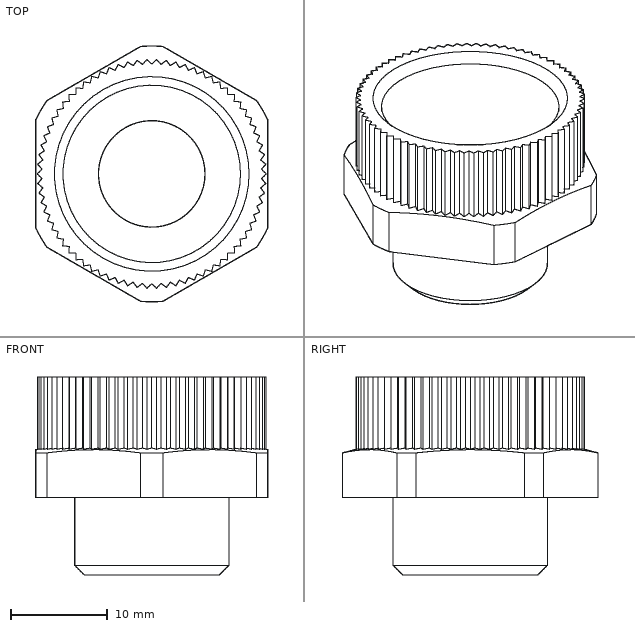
import cadquery as cq
import math

spigot_diameter = 16.0
spigot_height = 8.0
spigot_chamfer = 1.0

hex_across_flats = 24.0
hex_corner_diameter = 26.5
hex_height = 5.0
hex_cone_angle = 15.0

total_height = 20.5
knurl_diameter = 23.68
tooth_depth = 0.48
tooth_count = 74

through_diameter = 11.0
socket_diameter = 18.35
socket_depth = 10.5
mouth_diameter = 20.13
mouth_depth = 0.98

hex_top = spigot_height + hex_height
tip_radius = knurl_diameter / 2
root_radius = tip_radius - tooth_depth


def make_spigot():
    spigot = cq.Workplane("XY").circle(spigot_diameter / 2).extrude(spigot_height)
    return spigot.faces("<Z").chamfer(spigot_chamfer)


def make_hex_collar():
    across_corners = hex_across_flats / math.cos(math.radians(30))
    prism = (
        cq.Workplane("XY", origin=(0, 0, spigot_height))
        .transformed(rotate=(0, 0, 90))
        .polygon(6, across_corners)
        .extrude(total_height - spigot_height)
    )
    corner_radius = hex_corner_diameter / 2
    cone_slope = math.tan(math.radians(hex_cone_angle))
    corner_height = hex_top - (corner_radius - tip_radius) * cone_slope
    apex_height = hex_top + tip_radius * cone_slope
    envelope = (
        cq.Workplane("XZ")
        .moveTo(0, spigot_height)
        .lineTo(corner_radius, spigot_height)
        .lineTo(corner_radius, corner_height)
        .lineTo(0, apex_height)
        .close()
        .revolve(360, (0, 0, 0), (0, 1, 0))
    )
    return prism.intersect(envelope)


def make_knurled_ring():
    half_pitch = math.pi / tooth_count
    outline = []
    for tooth in range(tooth_count):
        tip_angle = 2 * tooth * half_pitch
        root_angle = tip_angle + half_pitch
        outline.append((tip_radius * math.cos(tip_angle), tip_radius * math.sin(tip_angle)))
        outline.append((root_radius * math.cos(root_angle), root_radius * math.sin(root_angle)))
    base = cq.Workplane("XY", origin=(0, 0, spigot_height))
    return base.polyline(outline).close().extrude(total_height - spigot_height)


def make_bore():
    floor = total_height - socket_depth
    return (
        cq.Workplane("XZ")
        .moveTo(0, 0)
        .lineTo(through_diameter / 2, 0)
        .lineTo(through_diameter / 2, floor)
        .lineTo(socket_diameter / 2, floor)
        .lineTo(socket_diameter / 2, total_height - mouth_depth)
        .lineTo(mouth_diameter / 2, total_height)
        .lineTo(0, total_height)
        .close()
        .revolve(360, (0, 0, 0), (0, 1, 0))
    )


body = make_spigot().union(make_hex_collar()).union(make_knurled_ring())
result = body.cut(make_bore())